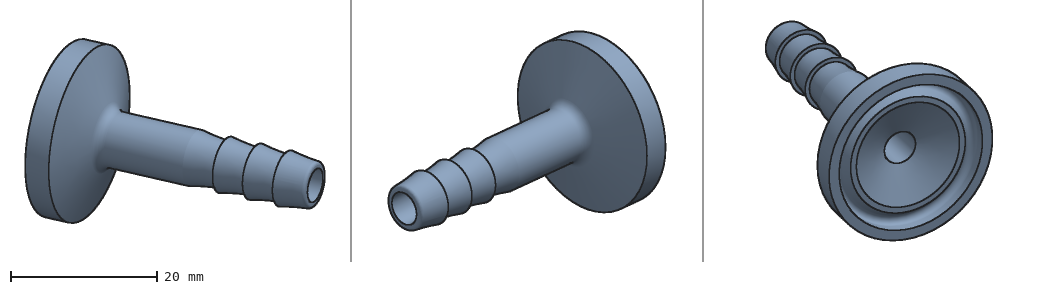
import cadquery as cq
import math


total_length = 38.1
bore_radius = 4.75 / 2

flange_radius = 25.0 / 2
flange_rim_width = 3.62
flange_back_angle = math.radians(20.0)

stem_radius = 7.92 / 2
stem_fillet = 1.55

barb_count = 4
barb_pitch = 4.57
barb_height = 0.65
barb_sag = 0.095
tip_fillet = 0.45

groove_outer_radius = 21.9 / 2
groove_inner_radius = 8.75
groove_round_start_radius = 9.55
groove_wall_angle = math.radians(38.0)

rim_recess = 0.88
dish_radius = 7.9
dish_depth = 2.45


def spin(outline):
    """Close a profile and revolve it fully about the X axis."""
    return outline.close().revolve(360, (0, 0, 0), (1, 0, 0))


def add_barb_flank(outline, start):
    """Add one hollow-curved barb flank, falling from the stem radius to the barb root."""
    end = start + barb_pitch
    root_radius = stem_radius - barb_height
    middle = ((start + end) / 2, (stem_radius + root_radius) / 2 - barb_sag)
    return outline.threePointArc(middle, (end, root_radius))


def make_body():
    """Solid outside shape: flange, conical back, filleted stem and barbs."""
    cone_end = flange_rim_width + (flange_radius - stem_radius) * math.tan(flange_back_angle)
    barbs_start = total_length - barb_count * barb_pitch

    turn = math.pi / 2 - flange_back_angle
    tangent_length = stem_fillet * math.tan(turn / 2)
    fillet_center = (cone_end + tangent_length, stem_radius + stem_fillet)
    fillet_start = (
        fillet_center[0] - stem_fillet * math.sin(turn),
        fillet_center[1] - stem_fillet * math.cos(turn),
    )
    fillet_middle = (
        fillet_center[0] - stem_fillet * math.sin(turn / 2),
        fillet_center[1] - stem_fillet * math.cos(turn / 2),
    )

    outline = (
        cq.Workplane("XY")
        .lineTo(0, flange_radius)
        .lineTo(flange_rim_width, flange_radius)
        .lineTo(*fillet_start)
        .threePointArc(fillet_middle, (fillet_center[0], stem_radius))
        .lineTo(barbs_start, stem_radius)
    )
    for index in range(barb_count):
        start = barbs_start + index * barb_pitch
        if index > 0:
            outline = outline.lineTo(start, stem_radius)
        outline = add_barb_flank(outline, start)
    body = spin(outline.lineTo(total_length, 0))
    return body.faces(">X").edges().fillet(tip_fillet)


def make_face_recess():
    """Cutter for the recess over the dish rim and the round-bottomed groove around it."""
    round_width = groove_outer_radius - groove_round_start_radius
    groove_round = round_width / (1 + math.cos(groove_wall_angle))
    wall_width = groove_round_start_radius - groove_inner_radius
    round_start_x = rim_recess + wall_width / math.tan(groove_wall_angle)
    center_x = round_start_x - groove_round * math.sin(groove_wall_angle)
    center_radius = groove_outer_radius - groove_round
    outline = (
        cq.Workplane("XY")
        .lineTo(rim_recess, 0)
        .lineTo(rim_recess, groove_inner_radius)
        .lineTo(round_start_x, groove_round_start_radius)
        .threePointArc((center_x + groove_round, center_radius), (center_x, groove_outer_radius))
        .lineTo(0, groove_outer_radius)
    )
    return spin(outline)


def make_passage():
    """Cutter for the conical dish and the through bore."""
    outline = (
        cq.Workplane("XY")
        .moveTo(rim_recess, 0)
        .lineTo(rim_recess, dish_radius)
        .lineTo(rim_recess + dish_depth, bore_radius)
        .lineTo(total_length, bore_radius)
        .lineTo(total_length, 0)
    )
    return spin(outline)


result = make_body().cut(make_face_recess()).cut(make_passage())